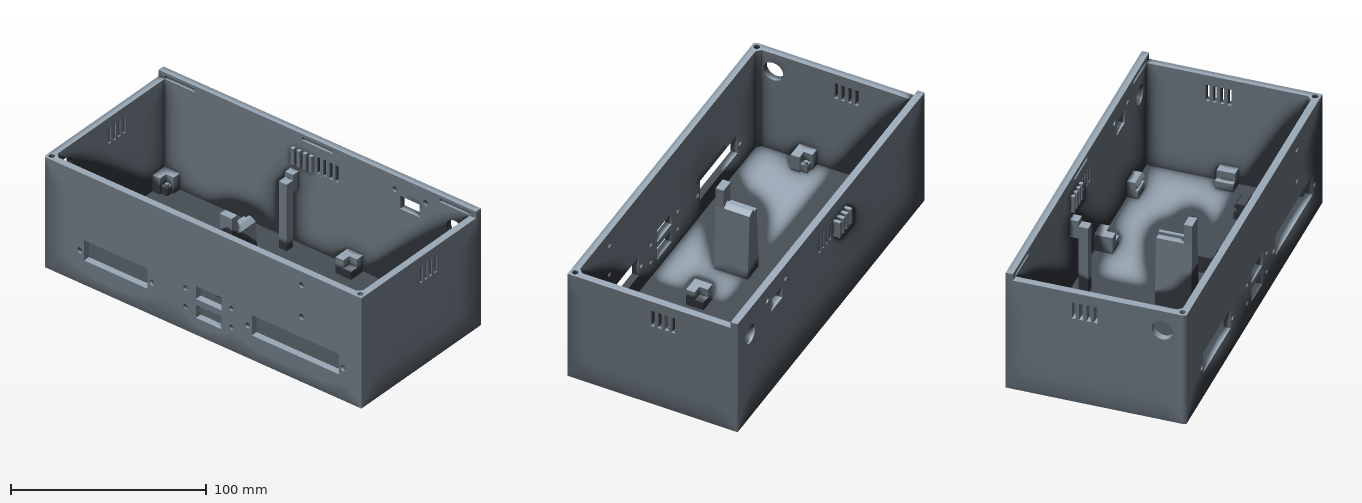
import cadquery as cq
length = 208.0
depth = 98.0
rim_height = 68.0
wall = 4.0
lip_height = 4.0
inner_left = wall
inner_right = length - wall
inner_back = depth - wall
corner_cut_x = 0.8
corner_cut_y = 1.5
corner_gusset = 2.5
lid_screw_inset = 3.0
lid_screw_depth = 10.0
screw_diameter = 3.3

groove_length = 20.2
groove_size = 2.0
groove_end_offset = 90.0

connector_bottom = 15.0
connector_height = 12.5
connector_spans = [(26.5, 68.0), (136.2, 193.2)]
connector_screw_gap = 2.7
connector_screw_z = 20.0
socket_left = 99.6
socket_width = 16.6
socket_height = 8.0
socket_centres_z = [14.4, 26.0]
socket_screw_xs = [92.8, 123.0]
socket_screw_diameter = 3.0
indicator_x = 169.0
indicator_zs = [40.1, 59.7]

vent_width = 2.0
vent_pitch = 4.0
vent_bottom = 52.0
vent_height = 10.0
side_vent_first_y = 49.0
side_vent_count = 4
back_vent_first_x = 89.0
back_vent_count = 8

fin_count = 4
fin_outside = 4.0
fin_inside = 2.0

side_hole_diameter = 11.5
side_hole_y = 13.0
side_hole_z = 56.2
jack_diameter = 11.0
jack_x = 193.9
jack_z = 55.0
port_left = 158.0
port_width = 12.7
port_bottom = 52.8
port_height = 8.0
port_screw_xs = [154.8, 175.0]
port_screw_z = 63.5

floor_holes = [(44.0, 64.0), (167.9, 57.0)]
floor_hole_depth = 2.0

seat_height = 5.0
support_height = 10.0
post_size = 10.0
post_notch = 5.0
pad_size = 4.0
pin_diameter = 2.0
pin_height = 2.0
left_front_post_y = 28.0
right_post_x = 124.0
right_front_post_y = 30.0
clip_width = 10.2
clip_depth = 6.0
clip_stem = 4.5
clip_nose_height = 8.1
clip_x = 173.9
clip_front_y = 30.0
ledge_y = 44.0
ledge_width = 10.0
ledge_depth = 8.1
ledge_stop = 5.5

column_x = 86.7
column_width = 5.2
column_front_y = 84.0
column_depth = 5.2
column_top = 45.0
bracket_bottom = 37.5
bracket_top = 48.3
stand_left = 89.6
stand_width = 12.3
stand_taper = 2.18
stand_front_y = 29.3
stand_back_y = 48.9
stand_seat_z = 44.0
stand_step = 3.3
stand_ridge_width = 1.9
stand_ridge_height = 1.9
stop_depth = 4.5
stop_top = 56.0


def box(x, y, z, size_x, size_y, size_z):
    """Block whose lowest corner is at (x, y, z)."""
    return cq.Workplane("XY").box(size_x, size_y, size_z, centered=False).translate((x, y, z))


def hole_y(x, z, y, diameter):
    """Cutter through one wall thickness, starting at y and running along +Y."""
    return cq.Workplane("XZ", origin=(x, y, z)).circle(diameter / 2).extrude(-wall)


def make_shell():
    shell = box(0, 0, 0, length, depth, rim_height)
    shell = shell.cut(box(wall, wall, wall, length - 2 * wall, depth - 2 * wall, rim_height))
    shell = shell.union(box(0, inner_back, rim_height, length, wall, lip_height))
    bevel = [(0, 0), (corner_cut_x, 0), (0, corner_cut_y)]
    shell = shell.cut(cq.Workplane("XY").polyline(bevel).close().extrude(rim_height))
    for corner_x, inward in [(inner_left, 1), (inner_right, -1)]:
        gusset = [
            (corner_x, wall),
            (corner_x + inward * corner_gusset, wall),
            (corner_x, wall + corner_gusset),
        ]
        shell = shell.union(cq.Workplane("XY").polyline(gusset).close().extrude(rim_height))
    for screw_x in [lid_screw_inset, length - lid_screw_inset]:
        screw = cq.Workplane("XY", origin=(screw_x, lid_screw_inset, rim_height - lid_screw_depth))
        shell = shell.cut(screw.circle(screw_diameter / 2).extrude(lid_screw_depth))
    for offset in [-groove_end_offset, 0, groove_end_offset]:
        groove_x = length / 2 + offset - groove_length / 2
        shell = shell.cut(
            box(groove_x, inner_back, rim_height, groove_length, groove_size, groove_size)
        )
    return shell


def cut_front_panel(shell):
    for left, right in connector_spans:
        shell = shell.cut(box(left, 0, connector_bottom, right - left, wall, connector_height))
        for x in [left - connector_screw_gap, right + connector_screw_gap]:
            shell = shell.cut(hole_y(x, connector_screw_z, 0, screw_diameter))
    for z in socket_centres_z:
        shell = shell.cut(box(socket_left, 0, z - socket_height / 2, socket_width, wall, socket_height))
        for x in socket_screw_xs:
            shell = shell.cut(hole_y(x, z, 0, socket_screw_diameter))
    for z in indicator_zs:
        shell = shell.cut(hole_y(indicator_x, z, 0, screw_diameter))
    return shell


def cut_side_walls(shell):
    for i in range(side_vent_count):
        y = side_vent_first_y + i * vent_pitch - vent_width / 2
        shell = shell.cut(box(0, y, vent_bottom, length, vent_width, vent_height))
    hole = cq.Workplane("YZ", origin=(0, side_hole_y, side_hole_z))
    return shell.cut(hole.circle(side_hole_diameter / 2).extrude(wall))


def back_vent_left(i):
    return back_vent_first_x + i * vent_pitch - vent_width / 2


def cut_back_wall(shell):
    for i in range(back_vent_count):
        shell = shell.cut(box(back_vent_left(i), inner_back, vent_bottom, vent_width, wall, vent_height))
    shell = shell.cut(box(port_left, inner_back, port_bottom, port_width, wall, port_height))
    for x in port_screw_xs:
        shell = shell.cut(hole_y(x, port_screw_z, inner_back, screw_diameter))
    return shell.cut(hole_y(jack_x, jack_z, inner_back, jack_diameter))


def cut_floor_holes(shell):
    holes = cq.Workplane("XY", origin=(0, 0, wall)).pushPoints(floor_holes)
    return shell.cut(holes.circle(screw_diameter / 2).extrude(-floor_hole_depth))


def corner_post(x, y, y_side, floor_level):
    """Square post notched on its +X side, at the +Y (y_side 1) or -Y (y_side -1) corner."""
    notch_y = y + (post_size - post_notch if y_side > 0 else 0)
    post = box(x, y, wall, post_size, post_size, support_height)
    return post.cut(
        box(x + post_size - post_notch, notch_y, floor_level, post_notch, post_notch, support_height)
    )


def left_post(y, y_side):
    """Post with a small pad in its notch and a locating pin on the pad."""
    corner_x = inner_left + post_size - post_notch
    corner_y = y + (post_size - post_notch if y_side > 0 else post_notch)
    pad_y = corner_y if y_side > 0 else corner_y - pad_size
    pad = box(corner_x, pad_y, wall, pad_size, pad_size, seat_height)
    pin_offset = pad_size - pin_diameter / 2
    pin = cq.Workplane("XY", origin=(corner_x + pin_offset, corner_y + y_side * pin_offset, wall))
    pin = pin.circle(pin_diameter / 2).extrude(seat_height + pin_height)
    return corner_post(inner_left, y, y_side, wall).union(pad).union(pin)


def snap_clip(y, y_side):
    """Hooked clip that starts at y and reaches along +Y or -Y."""
    profile = [
        (0, 0),
        (clip_depth, 0),
        (clip_depth, seat_height),
        (clip_stem, seat_height),
        (clip_stem, clip_nose_height - (clip_depth - clip_stem)),
        (clip_depth, clip_nose_height),
        (clip_stem, support_height),
        (0, support_height),
    ]
    points = [(y + y_side * reach, wall + height) for reach, height in profile]
    return cq.Workplane("YZ", origin=(clip_x, 0, 0)).polyline(points).close().extrude(clip_width)


def wall_ledge():
    seat = box(inner_right - ledge_depth, ledge_y, wall, ledge_depth, ledge_width, seat_height)
    stop = box(inner_right - ledge_stop, ledge_y, wall, ledge_stop, ledge_width, support_height)
    return seat.union(stop)


def display_column():
    column = box(column_x, column_front_y, wall, column_width, column_depth, column_top - wall)
    bracket_y = column_front_y + column_depth
    bracket = box(
        column_x, bracket_y, bracket_bottom,
        column_width, inner_back - bracket_y, bracket_top - bracket_bottom,
    )
    return column.union(bracket)


def display_stand():
    """Tapered stand with a ridge along its seat and a stop at its front end."""
    top_left = stand_left + stand_taper
    top_right = stand_left + stand_width - stand_taper
    ridge_left = top_left + stand_step
    ridge_z = stand_seat_z + stand_ridge_height
    profile = [
        (stand_left, wall),
        (stand_left + stand_width, wall),
        (top_right, stand_seat_z),
        (ridge_left + stand_ridge_width, ridge_z),
        (ridge_left, ridge_z),
        (ridge_left, stand_seat_z),
        (top_left, stand_seat_z),
    ]
    plane = cq.Workplane("XZ", origin=(0, stand_front_y, 0))
    stand = plane.polyline(profile).close().extrude(stand_front_y - stand_back_y)
    stop = box(
        top_left, stand_front_y, stand_seat_z,
        top_right - top_left, stop_depth, stop_top - stand_seat_z,
    )
    return stand.union(stop)


def make_housing():
    housing = make_shell()
    housing = cut_front_panel(housing)
    housing = cut_side_walls(housing)
    housing = cut_back_wall(housing)
    housing = cut_floor_holes(housing)
    supports = [
        left_post(left_front_post_y, 1),
        left_post(inner_back - post_size, -1),
        corner_post(right_post_x, right_front_post_y, 1, wall + seat_height),
        corner_post(right_post_x, inner_back - post_size, -1, wall + seat_height),
        snap_clip(clip_front_y, 1),
        snap_clip(inner_back, -1),
        wall_ledge(),
        display_column(),
        display_stand(),
    ]
    for support in supports:
        housing = housing.union(support)
    return housing


def make_fin(i):
    fin_length = fin_inside + wall + fin_outside
    return box(back_vent_left(i), inner_back - fin_inside, vent_bottom, vent_width, fin_length, vent_height)


housing = make_housing()
fins = [make_fin(i) for i in range(fin_count)]

result = cq.Compound.makeCompound([housing.val(), *[fin.val() for fin in fins]])